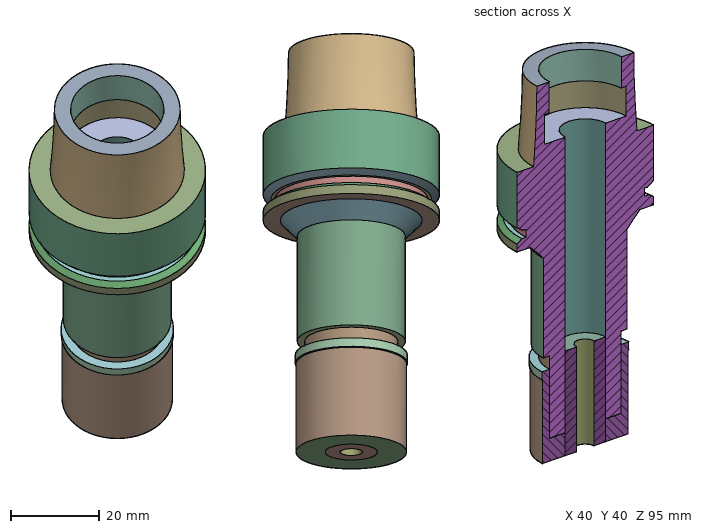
import cadquery as cq

TOTAL_HEIGHT = 95.0

TAPER_LENGTH = 19.9
TAPER_TOP_RADIUS = 14.25
TAPER_MID_RADIUS = 14.5
TAPER_BASE_RADIUS = 15.2
MOUTH_RADIUS = 10.5
MOUTH_DEPTH = 7.9
UNDERCUT_RADIUS = 11.9
CAVITY_DEPTH = 15.2

FLANGE_RADIUS = 20.0
FLANGE_BOTTOM = 55.1
LOWER_RIM_HEIGHT = 2.1
GROOVE_RADIUS = 17.4
GROOVE_BOTTOM = 58.1
GROOVE_TOP = 60.0
GROOVE_LOWER_MOUTH_RADIUS = 18.6
GROOVE_UPPER_MOUTH_RADIUS = 18.2
UPPER_RIM_BOTTOM = 61.2

CONE_TOP_RADIUS = 16.1
SHAFT_RADIUS = 12.3
CONE_HEIGHT = CONE_TOP_RADIUS - SHAFT_RADIUS
SHAFT_BOTTOM = 26.3
NECK_RADIUS = 10.5

NUT_HEIGHT = 23.1
NUT_RADIUS = 12.5
COLLAR_RADIUS = 12.7
COLLAR_BOTTOM = 21.1
COLLAR_CHAMFER = COLLAR_RADIUS - NUT_RADIUS
NUT_FLOOR = 5.7

COLLET_RADIUS = 5.9
COLLET_TOP = SHAFT_BOTTOM
COLLET_BORE_RADIUS = 2.52


def cylinder(radius, bottom, top):
    """Solid cylinder on the Z axis between two heights."""
    return cq.Workplane("XY").workplane(offset=bottom).circle(radius).extrude(top - bottom)


def revolve_about_z(profile):
    """Turn a closed (radius, height) profile about the Z axis."""
    return profile.close().revolve(360, (0, 0, 0), (0, 1, 0))


def make_holder():
    taper_base = TOTAL_HEIGHT - TAPER_LENGTH
    taper_middle = TOTAL_HEIGHT - TAPER_LENGTH / 2
    profile = (
        cq.Workplane("XZ")
        .moveTo(0, NUT_FLOOR)
        .lineTo(NECK_RADIUS, NUT_FLOOR)
        .lineTo(NECK_RADIUS, SHAFT_BOTTOM)
        .lineTo(SHAFT_RADIUS, SHAFT_BOTTOM)
        .lineTo(SHAFT_RADIUS, FLANGE_BOTTOM - CONE_HEIGHT)
        .lineTo(CONE_TOP_RADIUS, FLANGE_BOTTOM)
        .lineTo(FLANGE_RADIUS, FLANGE_BOTTOM)
        .lineTo(FLANGE_RADIUS, FLANGE_BOTTOM + LOWER_RIM_HEIGHT)
        .lineTo(GROOVE_LOWER_MOUTH_RADIUS, GROOVE_BOTTOM)
        .lineTo(GROOVE_RADIUS, GROOVE_BOTTOM)
        .lineTo(GROOVE_RADIUS, GROOVE_TOP)
        .lineTo(GROOVE_UPPER_MOUTH_RADIUS, GROOVE_TOP)
        .lineTo(FLANGE_RADIUS, UPPER_RIM_BOTTOM)
        .lineTo(FLANGE_RADIUS, taper_base)
        .lineTo(TAPER_BASE_RADIUS, taper_base)
        .threePointArc((TAPER_MID_RADIUS, taper_middle), (TAPER_TOP_RADIUS, TOTAL_HEIGHT))
        .lineTo(0, TOTAL_HEIGHT)
    )
    cavity_floor = TOTAL_HEIGHT - CAVITY_DEPTH
    undercut_top = TOTAL_HEIGHT - MOUTH_DEPTH
    mouth = cylinder(MOUTH_RADIUS, cavity_floor, TOTAL_HEIGHT)
    undercut = cylinder(UNDERCUT_RADIUS, cavity_floor, undercut_top)
    bore = cylinder(COLLET_RADIUS, NUT_FLOOR, cavity_floor)
    return revolve_about_z(profile).cut(mouth).cut(undercut).cut(bore)


def make_nut():
    profile = (
        cq.Workplane("XZ")
        .lineTo(NUT_RADIUS, 0)
        .lineTo(NUT_RADIUS, COLLAR_BOTTOM - COLLAR_CHAMFER)
        .lineTo(COLLAR_RADIUS, COLLAR_BOTTOM)
        .lineTo(COLLAR_RADIUS, NUT_HEIGHT)
        .lineTo(0, NUT_HEIGHT)
    )
    neck_recess = cylinder(NECK_RADIUS, NUT_FLOOR, NUT_HEIGHT)
    collet_hole = cylinder(COLLET_RADIUS, 0, NUT_FLOOR)
    return revolve_about_z(profile).cut(neck_recess).cut(collet_hole)


def make_collet():
    bore = cylinder(COLLET_BORE_RADIUS, 0, COLLET_TOP)
    return cylinder(COLLET_RADIUS, 0, COLLET_TOP).cut(bore)


holder = make_holder()
nut = make_nut()
collet = make_collet()

result = cq.Compound.makeCompound([*holder.solids().vals(), *nut.solids().vals(), *collet.solids().vals()])